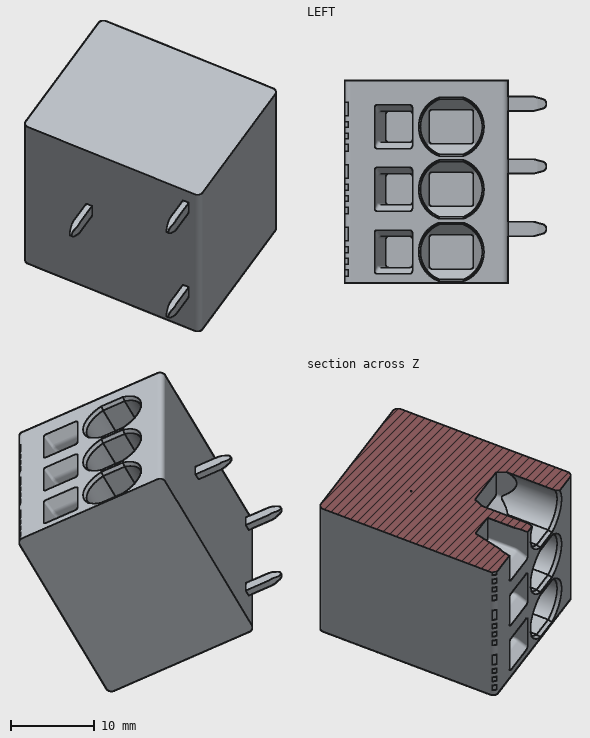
import cadquery as cq


BODY_X = 24.15
BODY_Y = 19.6
OVERALL_Y = 24.2
BODY_Z = 24.3
CORNER_RADIUS = 0.7

POLE_COUNT = 3
POLE_PITCH = 7.5
FIRST_WELL_Z = 3.75
FIRST_PIN_Z = 6.5

ENTRY_Y = 6.8
ENTRY_HALF_WIDTH = 3.7
ENTRY_HALF_FLAT = 3.3
ENTRY_HALF_CHORD = 1.45
ENTRY_CHAMFER = 0.22
ENTRY_CHAMFER_DEPTH = 0.5
ENTRY_BORE_DEPTH = 6.0
FUNNEL_DEPTH = 2.2
ENTRY_FLOOR_Y = 5.3
ENTRY_FLOOR_Z = 4.1
FUNNEL_CORNER_RADIUS = 0.4

RELEASE_BOTTOM_Y = 11.45
RELEASE_TOP_Y = 16.0
RELEASE_MOUTH_Z = 5.25
RELEASE_FLOOR_Z = 3.75
RELEASE_RAMP_DEPTH = 1.5
RELEASE_DEPTH = 5.4
RELEASE_SLANT_INSET = 1.35
RELEASE_BLEND_RADIUS = 1.0
RELEASE_CORNER_RADIUS = 0.35

PIN_LENGTH = OVERALL_Y - BODY_Y
PIN_X = 0.8
PIN_Z = 1.75
PIN_SIDE_TAPER_START = 3.1
PIN_ROUND_START = 4.1
PIN_ROUND_Z = 1.2
PIN_FACE_TAPER_START = 3.55
PIN_TIP_X = 0.3
PIN_ROW_X = 22.25
PIN_ROW_OFFSET = 13.2

EDGE_MARKS = ((2.13, 1.6), (0.27, 0.7), (-1.1, 0.7), (-2.52, 0.8))
MARK_REACH = 0.5


def entry_outline(x, margin):
    """Closed entry outline in the YZ plane at x, widened by margin: two arcs joined by two flats."""
    half_flat = ENTRY_HALF_FLAT + margin
    half_width = ENTRY_HALF_WIDTH + margin
    return (
        cq.Workplane("YZ", origin=(x, 0, 0))
        .moveTo(-ENTRY_HALF_CHORD, -half_flat)
        .lineTo(ENTRY_HALF_CHORD, -half_flat)
        .threePointArc((half_width, 0), (ENTRY_HALF_CHORD, half_flat))
        .lineTo(-ENTRY_HALF_CHORD, half_flat)
        .threePointArc((-half_width, 0), (-ENTRY_HALF_CHORD, -half_flat))
        .close()
    )


def make_wire_entry():
    """Solid removed for one wire entry, centred on the X axis."""
    full_depth = ENTRY_BORE_DEPTH + FUNNEL_DEPTH
    bore = entry_outline(0, 0).extrude(full_depth)

    funnel_mouth_y = 2 * ENTRY_HALF_WIDTH
    funnel_mouth_z = 2 * ENTRY_HALF_FLAT
    funnel = (
        cq.Workplane("YZ", origin=(ENTRY_BORE_DEPTH, 0, 0))
        .rect(funnel_mouth_y, funnel_mouth_z)
        .workplane(offset=FUNNEL_DEPTH)
        .rect(ENTRY_FLOOR_Y, ENTRY_FLOOR_Z)
        .loft(ruled=True)
        .edges("not(|Y or |Z)")
        .fillet(FUNNEL_CORNER_RADIUS)
    )
    straight = cq.Workplane("YZ").rect(funnel_mouth_y, funnel_mouth_z).extrude(ENTRY_BORE_DEPTH)

    mouth_wire = entry_outline(0, ENTRY_CHAMFER)
    bore_wire = entry_outline(ENTRY_CHAMFER_DEPTH, 0)
    mouth = cq.Solid.makeLoft([mouth_wire.wire().val(), bore_wire.wire().val()], True)
    return bore.intersect(straight.union(funnel)).union(cq.Workplane(mouth))


def make_release_opening():
    """Solid removed for one release opening, centred on z = 0."""
    half_mouth = RELEASE_MOUTH_Z / 2
    half_floor = RELEASE_FLOOR_Z / 2
    ramp_ends = cq.selectors.BoxSelector(
        (RELEASE_RAMP_DEPTH / 2, BODY_Y / 4, -half_mouth),
        ((RELEASE_RAMP_DEPTH + RELEASE_DEPTH) / 2, BODY_Y * 3 / 4, half_mouth),
    )
    ramped = (
        cq.Workplane("XZ")
        .moveTo(0, -half_mouth)
        .lineTo(RELEASE_RAMP_DEPTH, -half_floor)
        .lineTo(RELEASE_DEPTH, -half_floor)
        .lineTo(RELEASE_DEPTH, half_floor)
        .lineTo(RELEASE_RAMP_DEPTH, half_floor)
        .lineTo(0, half_mouth)
        .close()
        .extrude(-BODY_Y)
        .edges(ramp_ends)
        .fillet(RELEASE_BLEND_RADIUS)
    )
    slanted = (
        cq.Workplane("XY")
        .moveTo(0, RELEASE_BOTTOM_Y)
        .lineTo(RELEASE_DEPTH, RELEASE_BOTTOM_Y)
        .lineTo(RELEASE_DEPTH, RELEASE_TOP_Y - RELEASE_SLANT_INSET)
        .lineTo(0, RELEASE_TOP_Y)
        .close()
        .extrude(half_mouth, both=True)
    )
    return ramped.intersect(slanted).edges("not(|Y or |Z)").fillet(RELEASE_CORNER_RADIUS)


def make_edge_mark(length):
    """Prism that flattens a short stretch of the rounded top edge, centred on z = 0."""
    return (
        cq.Workplane("XY")
        .moveTo(0, BODY_Y)
        .lineTo(0, BODY_Y - MARK_REACH)
        .lineTo(MARK_REACH, BODY_Y)
        .close()
        .extrude(length / 2, both=True)
    )


def make_pin():
    """Flat solder pin pointing along -Y, centred on the Y axis."""
    half_z = PIN_Z / 2
    half_round = PIN_ROUND_Z / 2
    side_outline = (
        cq.Workplane("YZ")
        .moveTo(0, -half_z)
        .lineTo(-PIN_SIDE_TAPER_START, -half_z)
        .lineTo(-PIN_ROUND_START, -half_round)
        .threePointArc((-PIN_LENGTH, 0), (-PIN_ROUND_START, half_round))
        .lineTo(-PIN_SIDE_TAPER_START, half_z)
        .lineTo(0, half_z)
        .close()
        .extrude(PIN_X / 2, both=True)
    )
    half_x = PIN_X / 2
    half_tip = PIN_TIP_X / 2
    face_outline = (
        cq.Workplane("XY")
        .moveTo(-half_x, 0)
        .lineTo(-half_x, -PIN_FACE_TAPER_START)
        .lineTo(-half_tip, -PIN_LENGTH)
        .lineTo(half_tip, -PIN_LENGTH)
        .lineTo(half_x, -PIN_FACE_TAPER_START)
        .lineTo(half_x, 0)
        .close()
        .extrude(half_z, both=True)
    )
    return side_outline.intersect(face_outline)


housing = (
    cq.Workplane("XY")
    .box(BODY_X, BODY_Y, BODY_Z, centered=False)
    .edges("|Z")
    .fillet(CORNER_RADIUS)
)

wire_entry = make_wire_entry()
release_opening = make_release_opening()
pin = make_pin()

result = housing
for pole in range(POLE_COUNT):
    well_z = FIRST_WELL_Z + pole * POLE_PITCH
    result = result.cut(wire_entry.translate((0, ENTRY_Y, well_z)))
    result = result.cut(release_opening.translate((0, 0, well_z)))
    for mark_offset, mark_length in EDGE_MARKS:
        result = result.cut(make_edge_mark(mark_length).translate((0, 0, well_z + mark_offset)))

    is_staggered = pole % 2 == 1
    pin_x = PIN_ROW_X - PIN_ROW_OFFSET if is_staggered else PIN_ROW_X
    result = result.union(pin.translate((pin_x, 0, FIRST_PIN_Z + pole * POLE_PITCH)))